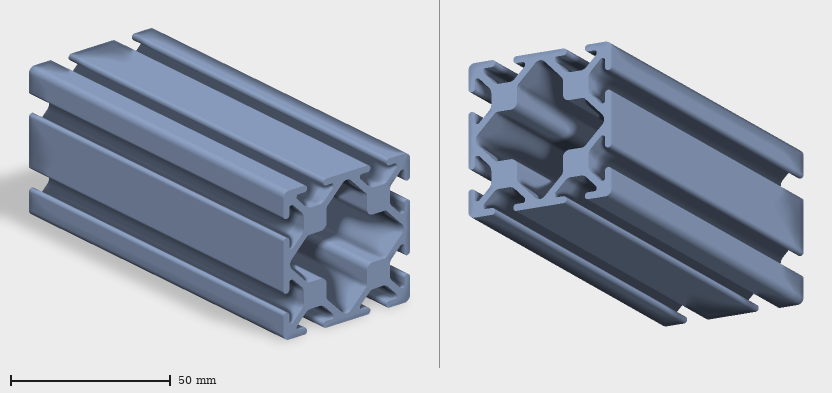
import cadquery as cq
import math

length = 127.0
width = 50.8
half_width = width / 2
outer_corner_radius = 2.2

slot_offset = width / 4
slot_opening = 6.5
slot_inner_width = 14.9
lip_thickness = 2.3
lip_tip_radius = 1.09
pocket_radius = 0.8
floor_radius = 2.9

core_width = 9.1
web_thickness = 2.3

core_corner_radius = 2.3
web_root_radius = 1.5
hollow_tip_radius = 2.4

web_reach = web_thickness / math.sqrt(2)


def quarter_turned(corners):
    """Repeat the (y, z, radius) corners of one side on all four sides, clockwise."""
    outline = []
    for _ in range(4):
        outline += corners
        corners = [(z, -y, radius) for y, z, radius in corners]
    return outline


def rounded_prism(corners):
    """Extrude a closed outline with every (y, z, radius) corner rounded."""
    path = None
    for index, (y, z, radius) in enumerate(corners):
        corner = cq.Vector(y, z)
        before = cq.Vector(*corners[index - 1][:2])
        after = cq.Vector(*corners[(index + 1) % len(corners)][:2])
        to_before = (before - corner).normalized()
        to_after = (after - corner).normalized()
        half_angle = to_before.getAngle(to_after) / 2
        setback = radius / math.tan(half_angle)
        start = corner + to_before * setback
        end = corner + to_after * setback
        bisector = (to_before + to_after).normalized()
        middle = corner + bisector * (radius / math.sin(half_angle) - radius)
        if path is None:
            path = cq.Workplane("YZ").moveTo(start.x, start.y)
        else:
            path = path.lineTo(start.x, start.y)
        path = path.threePointArc((middle.x, middle.y), (end.x, end.y))
    return path.close().extrude(length / 2, both=True)


def slot_half(direction):
    """Corners of half a top-side slot, from the outer face down to the floor.

    direction is -1 for the half next to the profile corner at -Y, and +1 for the other half.
    """
    lip_y = -slot_offset + direction * slot_opening / 2
    pocket_y = -slot_offset + direction * slot_inner_width / 2
    lip_z = half_width - lip_thickness
    floor_z = slot_offset + core_width / 2
    web_z = slot_offset + slot_inner_width / 2 + web_reach
    floor_y = -slot_offset + direction * (core_width / 2 - web_reach)
    return [
        (lip_y, half_width, lip_tip_radius),
        (lip_y, lip_z, lip_tip_radius),
        (pocket_y, lip_z, pocket_radius),
        (pocket_y, web_z, pocket_radius),
        (floor_y, floor_z, floor_radius),
    ]


def outer_side():
    """Corners of the top side, from its -Y end up to the next profile corner."""
    left_slot = slot_half(-1) + slot_half(1)[::-1]
    right_slot = [(-y, z, radius) for y, z, radius in left_slot[::-1]]
    profile_corner = (-half_width, half_width, outer_corner_radius)
    return [profile_corner] + left_slot + right_slot


def hollow_side():
    """Corners of the hollow from one core, past the web faces, to the next core."""
    core_inner = slot_offset - core_width / 2
    tip_z = half_width - web_reach
    web_start_z = tip_z - core_inner
    return [
        (-core_inner, core_inner, core_corner_radius),
        (-core_inner, web_start_z, web_root_radius),
        (0, tip_z, hollow_tip_radius),
        (core_inner, web_start_z, web_root_radius),
    ]


bar = rounded_prism(quarter_turned(outer_side()))
hollow = rounded_prism(quarter_turned(hollow_side()))
result = bar.cut(hollow)